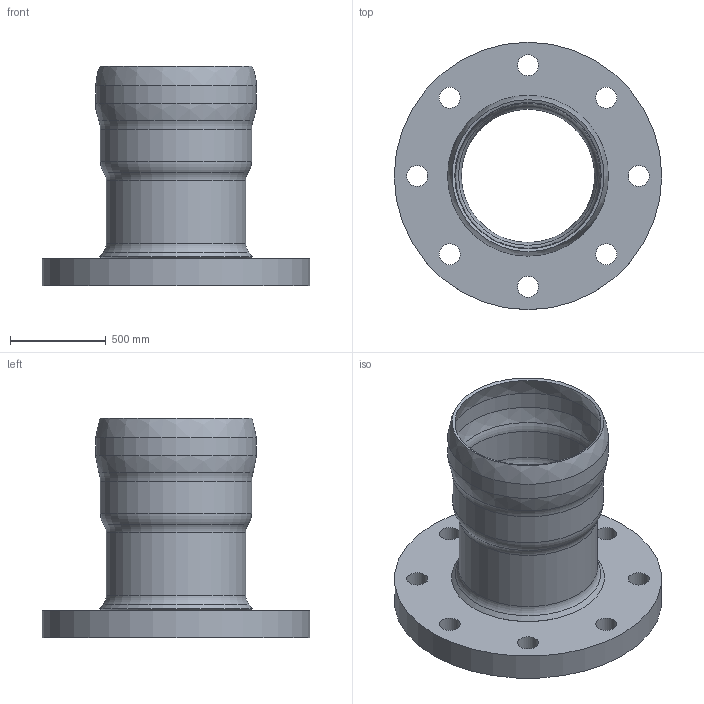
import cadquery as cq
import math

flange_diameter = 1400.0
flange_thickness = 142.0
bolt_hole_diameter = 110.0
bolt_circle_diameter = 1160.0
bore_radius = 774.0 / 2
bolt_count = 8

wall = 16.0
overall_height = 1150.0
pipe_radius = 730.0 / 2
sleeve_radius = 792.0 / 2
bulge_radius = 842.0 / 2

foot_angle = math.radians(38.0)
foot_bend_radius = 76.0

pipe_top = 551.0
lower_step_concave_radius = 72.0
lower_step_convex_radius = 113.0
sleeve_top = 820.0
upper_step_concave_radius = 122.0
upper_step_convex_radius = 260.0
bulge_top = 1047.0
crown_bend_radius = 240.0

joint_tolerance = 1e-6


def make_flange():
    bolt_holes = (
        cq.Workplane("XY")
        .polarArray(bolt_circle_diameter / 2, 0, 360, bolt_count)
        .circle(bolt_hole_diameter / 2)
        .extrude(flange_thickness)
    )
    return (
        cq.Workplane("XY")
        .circle(flange_diameter / 2)
        .circle(bore_radius)
        .extrude(flange_thickness)
        .cut(bolt_holes)
    )


def point_on_arc(center, radius, angle):
    """Point at the given angle above the outward radial direction."""
    return (center[0] + radius * math.cos(angle), center[1] + radius * math.sin(angle))


lower_step_radii = lower_step_concave_radius + lower_step_convex_radius
lower_angle = math.acos(1 - (sleeve_radius - pipe_radius) / lower_step_radii)
sleeve_bottom = pipe_top + lower_step_radii * math.sin(lower_angle)

upper_step_radii = upper_step_concave_radius + upper_step_convex_radius
upper_angle = math.acos(1 - (bulge_radius - sleeve_radius) / upper_step_radii)
bulge_bottom = sleeve_top + upper_step_radii * math.sin(upper_angle)

foot_outer_radius = bore_radius + wall * math.cos(foot_angle)
foot_outer_height = flange_thickness + wall * math.sin(foot_angle)
foot_bend_reach = foot_bend_radius * (1 - math.cos(foot_angle))
foot_cone_length = (foot_outer_radius - pipe_radius - foot_bend_reach) / math.sin(foot_angle)
pipe_bottom = (
    foot_outer_height
    + foot_cone_length * math.cos(foot_angle)
    + foot_bend_radius * math.sin(foot_angle)
)

foot_center = (pipe_radius + foot_bend_radius, pipe_bottom)
lower_concave_center = (pipe_radius + lower_step_concave_radius, pipe_top)
lower_convex_center = (sleeve_radius - lower_step_convex_radius, sleeve_bottom)
upper_concave_center = (sleeve_radius + upper_step_concave_radius, sleeve_top)
upper_convex_center = (bulge_radius - upper_step_convex_radius, bulge_bottom)

crown_center = (bulge_radius - crown_bend_radius, bulge_top)
crown_angle = math.asin((overall_height - bulge_top) / crown_bend_radius)


def skin_bends(inset):
    """Bends of the outer skin moved inward by inset, from the foot up: centre, radius, angles."""
    inward = math.pi
    return [
        (foot_center, foot_bend_radius + inset, inward + foot_angle, inward),
        (lower_concave_center, lower_step_concave_radius + inset, inward, inward - lower_angle),
        (lower_convex_center, lower_step_convex_radius - inset, -lower_angle, 0),
        (upper_concave_center, upper_step_concave_radius + inset, inward, inward - upper_angle),
        (upper_convex_center, upper_step_convex_radius - inset, -upper_angle, 0),
        (crown_center, crown_bend_radius - inset, 0, crown_angle),
    ]


def foot_end(inset):
    """Lower end of the foot cone on the outer skin moved inward by inset."""
    cone_top = point_on_arc(foot_center, foot_bend_radius + inset, math.pi + foot_angle)
    return (
        cone_top[0] + foot_cone_length * math.sin(foot_angle),
        cone_top[1] - foot_cone_length * math.cos(foot_angle),
    )


def bend_points(center, radius, start_angle, end_angle):
    """Start, middle and end point of a bend."""
    angles = (start_angle, (start_angle + end_angle) / 2, end_angle)
    return [point_on_arc(center, radius, angle) for angle in angles]


def make_pipe():
    outer_bends = [bend_points(*bend) for bend in skin_bends(0)]
    inner_bends = [bend_points(*bend)[::-1] for bend in reversed(skin_bends(wall))]

    profile = cq.Workplane("XZ").moveTo(*foot_end(0))
    previous_end = foot_end(0)
    for start, middle, end in outer_bends + inner_bends:
        if math.dist(previous_end, start) > joint_tolerance:
            profile = profile.lineTo(*start)
        profile = profile.threePointArc(middle, end)
        previous_end = end
    profile = profile.lineTo(*foot_end(wall)).close()
    return profile.revolve(360, (0, 0, 0), (0, 1, 0))


flange = make_flange()
pipe = make_pipe()

result = cq.Compound.makeCompound([flange.val(), pipe.val()])